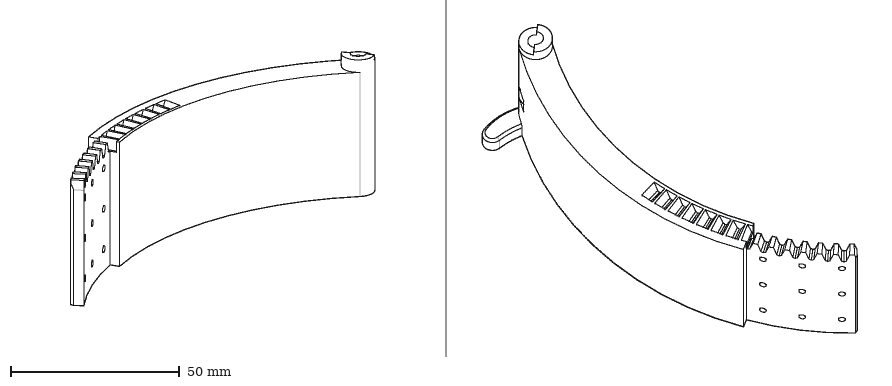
import cadquery as cq
import math

band_height = 40.0
band_outer_radius = 100.0
band_inner_radius = 90.0
band_start_angle = 171.0
band_end_angle = 230.0
band_bottom_chamfer = 0.4

tongue_outer_radius = 97.0
tongue_inner_radius = 93.0
tongue_end_angle = 249.7
tongue_tip_chamfer_along = 1.0
tongue_tip_chamfer_across = 0.6

teeth_on_tongue = 7
rack_span_angle = 20.0
tooth_pitch_angle = rack_span_angle / teeth_on_tongue
first_gap_angle = band_end_angle + 0.2
gap_top_width = 3.4
gap_floor_width = 1.4
gap_depth = 3.6
slot_floor_sag = 0.4
pocket_count = 8
pocket_inner_radius = 91.0
pocket_outer_radius = 97.0
pocket_top_width = 3.9
pocket_floor_width = 1.3
pocket_depth = 3.6

cut_margin = 1.0

pin_hole_diameter = 2.0
pin_hole_angles = (233.0, 240.0, 247.0)
pin_hole_heights = (7.0, 20.0, 33.0)

barrel_diameter = band_outer_radius - band_inner_radius
barrel_radius = barrel_diameter / 2
barrel_height = 44.0
barrel_step_height = 1.6
barrel_step_angle = 61.0
counterbore_diameter = 4.6
counterbore_depth = barrel_height / 2
bore_diameter = 3.4
bore_flat_distance = 0.8
bore_flat_height = 5.0
hinge_track_radius = (band_outer_radius + band_inner_radius) / 2
hinge_x = hinge_track_radius * math.cos(math.radians(band_start_angle))
hinge_y = hinge_track_radius * math.sin(math.radians(band_start_angle))

lever_height = 5.8
lever_chamfer = 0.85
lever_root_top = (0.0, 3.8)
lever_upper_middle = (-9.0, 3.75)
lever_upper_end = (-16.25, 0.58)
lever_lower_end = (-13.44, -4.75)
lever_root_bottom = (-4.7, -2.95)

window_bottom = 15.2
window_height = 5.5
window_wall_inner = (-3.3, -3.8)
window_wall_outer = (-6.2, -4.8)
window_reach = 8.0


def polar(radius, angle):
    """Point at a radius and an angle in degrees about the Z axis."""
    return (radius * math.cos(math.radians(angle)), radius * math.sin(math.radians(angle)))


def sector(inner_radius, outer_radius, start_angle, end_angle, height):
    """Ring sector standing on the XY plane."""
    middle_angle = (start_angle + end_angle) / 2
    return (
        cq.Workplane("XY")
        .moveTo(*polar(inner_radius, start_angle))
        .lineTo(*polar(outer_radius, start_angle))
        .threePointArc(polar(outer_radius, middle_angle), polar(outer_radius, end_angle))
        .lineTo(*polar(inner_radius, end_angle))
        .threePointArc(polar(inner_radius, middle_angle), polar(inner_radius, start_angle))
        .close()
        .extrude(height)
    )


def radial_plane(radius, angle):
    """Plane facing outward at an angle, with its local X tangential and its local Y along Z."""
    x, y = polar(radius, angle)
    tangent = polar(1.0, angle + 90)
    return cq.Plane(origin=(x, y, 0), xDir=(*tangent, 0), normal=(x, y, 0))


def tapered_slot(angle, inner_radius, outer_radius, top_width, floor_width, depth):
    """Radial slot in the top face that narrows towards its shallow V floor."""
    floor_side = band_height - depth + slot_floor_sag
    return (
        cq.Workplane(radial_plane(inner_radius, angle))
        .moveTo(-floor_width / 2, floor_side)
        .lineTo(0, band_height - depth)
        .lineTo(floor_width / 2, floor_side)
        .lineTo(top_width / 2, band_height)
        .lineTo(-top_width / 2, band_height)
        .close()
        .extrude(outer_radius - inner_radius)
    )


def make_band():
    band = sector(band_inner_radius, band_outer_radius, band_start_angle, band_end_angle, band_height)
    middle = polar(band_outer_radius, (band_start_angle + band_end_angle) / 2)
    bottom_edge = cq.selectors.NearestToPointSelector((*middle, 0))
    band = band.edges(bottom_edge).chamfer(band_bottom_chamfer)
    for index in range(pocket_count):
        angle = first_gap_angle - index * tooth_pitch_angle
        band = band.cut(
            tapered_slot(
                angle,
                pocket_inner_radius,
                pocket_outer_radius,
                pocket_top_width,
                pocket_floor_width,
                pocket_depth,
            )
        )
    return band


def make_tongue():
    tongue = sector(
        tongue_inner_radius,
        tongue_outer_radius,
        band_end_angle,
        tongue_end_angle,
        band_height,
    )
    tip_corner = cq.selectors.NearestToPointSelector(
        (*polar(tongue_outer_radius, tongue_end_angle), band_height / 2)
    )
    tongue = tongue.edges(tip_corner).chamfer(tongue_tip_chamfer_across, tongue_tip_chamfer_along)
    for index in range(teeth_on_tongue + 1):
        angle = first_gap_angle + index * tooth_pitch_angle
        tongue = tongue.cut(
            tapered_slot(
                angle,
                tongue_inner_radius - cut_margin,
                tongue_outer_radius + cut_margin,
                gap_top_width,
                gap_floor_width,
                gap_depth,
            )
        )
    for angle in pin_hole_angles:
        holes = (
            cq.Workplane(radial_plane(tongue_inner_radius - cut_margin, angle))
            .pushPoints([(0, height) for height in pin_hole_heights])
            .circle(pin_hole_diameter / 2)
            .extrude(tongue_outer_radius - tongue_inner_radius + 2 * cut_margin)
        )
        tongue = tongue.cut(holes)
    return tongue


def hinge_workplane(height=0.0):
    return cq.Workplane("XY", origin=(hinge_x, hinge_y, height))


def make_barrel():
    barrel = hinge_workplane().circle(barrel_radius).extrude(barrel_height)
    low_half = (
        cq.Workplane("XY")
        .rect(barrel_diameter * 2, barrel_diameter, centered=(True, False))
        .extrude(barrel_step_height)
        .rotate((0, 0, 0), (0, 0, 1), barrel_step_angle)
        .translate((hinge_x, hinge_y, barrel_height - barrel_step_height))
    )
    return barrel.cut(low_half)


def make_bore():
    """Counterbore over a bore whose outward side has a flat at its foot."""
    flat_block = (
        cq.Workplane("XY")
        .rect(bore_diameter, bore_diameter)
        .extrude(bore_flat_height)
        .translate((bore_flat_distance + bore_diameter / 2, 0, 0))
        .rotate((0, 0, 0), (0, 0, 1), band_start_angle)
        .translate((hinge_x, hinge_y, 0))
    )
    bore = hinge_workplane().circle(bore_diameter / 2).extrude(barrel_height).cut(flat_block)
    counterbore = (
        hinge_workplane(barrel_height - counterbore_depth)
        .circle(counterbore_diameter / 2)
        .extrude(counterbore_depth)
    )
    return bore.union(counterbore)


def make_lever():
    return (
        hinge_workplane()
        .moveTo(*lever_root_top)
        .threePointArc(lever_upper_middle, lever_upper_end)
        .tangentArcPoint(lever_lower_end, relative=False)
        .tangentArcPoint(lever_root_bottom, relative=False)
        .lineTo(0, 0)
        .close()
        .extrude(lever_height)
        .faces("<Z or >Z")
        .chamfer(lever_chamfer)
    )


def make_window():
    """Wedge between the barrel and a slanted wall in the band."""
    return (
        hinge_workplane(window_bottom)
        .lineTo(*window_wall_inner)
        .lineTo(*window_wall_outer)
        .lineTo(-window_reach, window_wall_outer[1])
        .lineTo(-window_reach, window_reach)
        .close()
        .extrude(window_height)
    )


result = (
    make_band()
    .cut(make_window())
    .union(make_tongue())
    .union(make_barrel())
    .union(make_lever())
    .cut(make_bore())
)